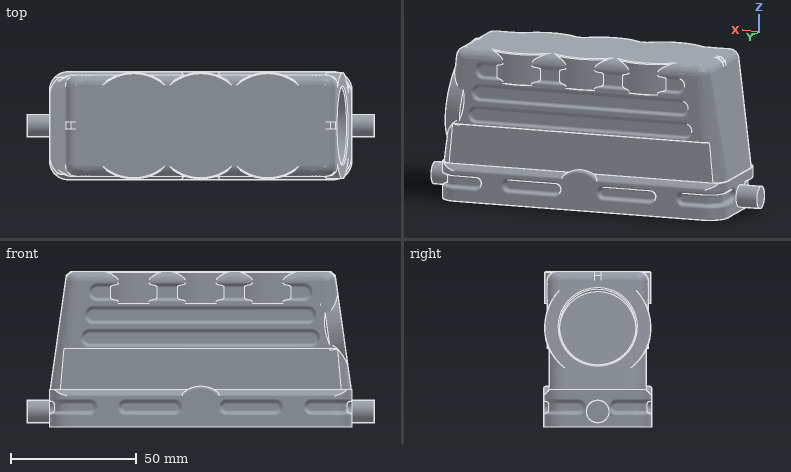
import cadquery as cq
import math

total_length = 138.0
total_height = 62.0

base_length = 120.3
base_width = 43.0
base_height = 14.9
base_corner_radius = 7.6
lip_bevel = 2.3
lip_round = 1.1

hood_width = 40.3
hood_bottom_length = 119.8
hood_top_length = 106.5
hood_bottom_corner = 7.5
hood_top_corner = 4.3
top_round = 4.0

panel_width = 38.6
panel_top = 31.2

rib_width = 2.8
rib_chamfer = 1.7

groove_bottom_height = 35.3
groove_pitch = 9.1
groove_count = 3
groove_bottom_centre = 44.0
groove_shortening = 1.5
groove_half_width = 2.9
groove_wall_width = 0.9
groove_depth = 1.4

base_groove_height = 7.9
base_groove_floor_diameter = 2.5
base_groove_wall_width = 1.04
base_groove_depth = 2.0
side_groove_inner_end = 10.4
side_groove_outer_end = 29.8
corner_groove_side_end = 44.0
corner_groove_end_end = 7.6

bump_radius = 19.3
bump_pitch = 26.6
bump_reach = 21.1
bump_bottom = 49.1
bump_chamfer = 0.4

hump_radius = 10.6
hump_top = 16.3
hump_round = 1.1

entry_height = 39.9
entry_diameter = 30.4
entry_depth = 7.5
entry_chamfer = 0.5
boss_radius = 21.1
boss_chamfer = 1.4

pin_diameter = 9.0
pin_height = 6.2

clearance = 0.7

base_half_length = base_length / 2
base_half_width = base_width / 2
hood_rise = total_height - base_height
base_groove_half_width = base_groove_floor_diameter / 2 + base_groove_wall_width
end_slope = (hood_bottom_length - hood_top_length) / 2 / hood_rise


def rounded_rectangle(length, width, radius):
    return cq.Sketch().rect(length, width).vertices().fillet(radius)


def centred_block(length, width, height):
    """Block standing on the floor plane, centred along X and Y."""
    return cq.Workplane("XY").box(length, width, height, centered=(True, True, False))


def make_base():
    """Collar with rounded corners; its long top edges are bevelled and softened."""
    plan = rounded_rectangle(base_length, base_width, base_corner_radius)
    collar = cq.Workplane("XY").placeSketch(plan).extrude(base_height)
    bevelled = (
        centred_block(base_length, base_width, base_height)
        .edges(">Z and |X").chamfer(lip_bevel)
    )
    bevel_foot = base_height - lip_bevel
    foot_edges = cq.selectors.BoxSelector(
        (-base_length, -base_width, bevel_foot - clearance),
        (base_length, base_width, bevel_foot + clearance),
    )
    bevelled = bevelled.edges("|X").edges(foot_edges).fillet(lip_round)
    return collar.intersect(bevelled)


def make_humps():
    """Shallow arch standing above both long collar edges, with a rounded rim."""
    disc = (
        cq.Workplane("XZ", origin=(0, 0, hump_top - hump_radius))
        .circle(hump_radius).extrude(base_half_width, both=True)
        .edges().fillet(hump_round)
    )
    above_floor = centred_block(base_length, base_width, total_height)
    return disc.intersect(above_floor)


def make_hood():
    """Hood with sloping ends, conical corners, rounded top and two square end ribs."""
    bottom = rounded_rectangle(hood_bottom_length, hood_width, hood_bottom_corner)
    top = rounded_rectangle(hood_top_length, hood_width, hood_top_corner)
    raw = (
        cq.Workplane("XY")
        .placeSketch(
            bottom.moved(cq.Location(cq.Vector(0, 0, base_height))),
            top.moved(cq.Location(cq.Vector(0, 0, total_height))),
        )
        .loft(ruled=True)
    )
    rib_slab = centred_block(base_length, rib_width, total_height)
    ribs = raw.intersect(rib_slab).edges(">Z and |Y").chamfer(rib_chamfer)
    return raw.faces(">Z").edges().fillet(top_round).union(ribs)


def make_bump(x, side):
    """Upright cylinder whose outer face bulges from the hood side (side is +1 or -1)."""
    return (
        cq.Workplane("XY", origin=(x, side * (bump_reach - bump_radius), bump_bottom))
        .circle(bump_radius).extrude(total_height - bump_bottom)
        .faces(">Z").edges().chamfer(bump_chamfer)
    )


def side_panel_cutter(side):
    """Block that trims one hood side back to the recessed lower panel."""
    block = centred_block(base_length, base_width, panel_top - base_height)
    return block.translate((0, side * (panel_width + base_width) / 2, base_height))


def groove_section(wall, half_width, wall_width, depth):
    """Upper half of a groove section in the XZ plane, cut into a wall at x = wall facing +X.

    A convex round at the rim flows smoothly into an equal concave round at the floor.
    """
    steepest_angle = 2 * math.atan(depth / 2 / wall_width)
    radius = wall_width / math.sin(steepest_angle)
    mid_drop = radius * (1 - math.cos(steepest_angle / 2))
    mid_shift = radius * math.sin(steepest_angle / 2)
    rim = half_width + wall_width
    floor = half_width - wall_width
    return (
        cq.Workplane("XZ")
        .moveTo(wall - depth, 0)
        .lineTo(wall - depth, floor)
        .threePointArc((wall - depth + mid_drop, floor + mid_shift), (wall - depth / 2, half_width))
        .threePointArc((wall - mid_drop, rim - mid_shift), (wall, rim))
        .lineTo(wall + clearance, rim)
        .lineTo(wall + clearance, 0)
        .close()
    )


def straight_groove(centre_distance, half_width, wall_width, depth):
    """Round-ended groove cutter along Y, centred on the origin, for a wall at x = 0 facing +X."""
    upper = groove_section(0, half_width, wall_width, depth).extrude(centre_distance / 2, both=True)
    groove = upper.union(upper.mirror("XY"))
    round_end = groove_section(0, half_width, wall_width, depth).revolve(360, (0, 0), (1, 0))
    for y in (-centre_distance / 2, centre_distance / 2):
        groove = groove.union(round_end.translate((0, y, 0)))
    return groove


def side_wall_groove(start, end, height, wall, half_width, wall_width, depth):
    """Groove cutter on the +Y wall between end centres at x = start and x = end."""
    groove = straight_groove(end - start, half_width, wall_width, depth)
    return groove.rotate((0, 0, 0), (0, 0, 1), 90).translate(((start + end) / 2, wall, height))


def corner_groove():
    """Collar groove cutter that runs around the +X +Y corner."""
    size = (base_groove_half_width, base_groove_wall_width, base_groove_depth)
    corner_x = base_half_length - base_corner_radius
    corner_y = base_half_width - base_corner_radius
    upper = groove_section(base_corner_radius, *size).revolve(90, (0, 0), (0, 1))
    bend = upper.union(upper.mirror("XY")).translate((corner_x, corner_y, base_groove_height))
    along_side = side_wall_groove(
        corner_groove_side_end, corner_x, base_groove_height, base_half_width, *size
    )
    along_end = straight_groove(corner_y - corner_groove_end_end, *size).translate(
        (base_half_length, (corner_y + corner_groove_end_end) / 2, base_groove_height)
    )
    return bend.union(along_side).union(along_end)


def hood_groove(index):
    """Long groove cutter on the +Y side of the hood, counted upwards from the lowest one."""
    reach = groove_bottom_centre - index * groove_shortening
    height = groove_bottom_height + index * groove_pitch
    return side_wall_groove(
        -reach, reach, height, hood_width / 2,
        groove_half_width, groove_wall_width, groove_depth,
    )


def entry_plane():
    """Plane on the sloping +X end, centred on the cable entry and facing outwards."""
    face_x = hood_bottom_length / 2 - (entry_height - base_height) * end_slope
    return cq.Plane(
        origin=(face_x, 0, entry_height), xDir=(0, 1, 0), normal=(1, 0, end_slope)
    )


def make_entry_boss():
    """Round boss flush with the sloping end, kept below the rounded top edge."""
    boss = (
        cq.Workplane(entry_plane()).circle(boss_radius).extrude(-entry_depth)
        .faces("<X").edges().chamfer(boss_chamfer)
    )
    return boss.intersect(centred_block(base_length, base_width, total_height - top_round))


def make_entry_hole():
    """Blind cable entry with a chamfered mouth."""
    bore = cq.Workplane(entry_plane()).circle(entry_diameter / 2).extrude(-entry_depth)
    mouth = cq.Solid.makeCone(
        entry_diameter / 2 + entry_chamfer, entry_diameter / 2, entry_chamfer,
        pnt=entry_plane().origin, dir=entry_plane().zDir * -1,
    )
    return bore.union(cq.Workplane(mouth))


hood = make_hood()
for index in range(groove_count):
    groove = hood_groove(index)
    hood = hood.cut(groove).cut(groove.mirror("XZ"))
for side in (-1, 1):
    hood = hood.cut(side_panel_cutter(side))
    for bump_index in (-1, 0, 1):
        hood = hood.union(make_bump(bump_index * bump_pitch, side))
hood = hood.union(make_entry_boss()).cut(make_entry_hole())

base = make_base().union(make_humps())
side_groove = side_wall_groove(
    side_groove_inner_end, side_groove_outer_end, base_groove_height,
    base_half_width, base_groove_half_width, base_groove_wall_width, base_groove_depth,
)
quarter_grooves = side_groove.union(corner_groove())
half_grooves = quarter_grooves.union(quarter_grooves.mirror("XZ"))
base = base.cut(half_grooves).cut(half_grooves.mirror("YZ"))

pins = (
    cq.Workplane("YZ", origin=(0, 0, pin_height))
    .circle(pin_diameter / 2).extrude(total_length / 2, both=True)
)

result = hood.union(base).union(pins)